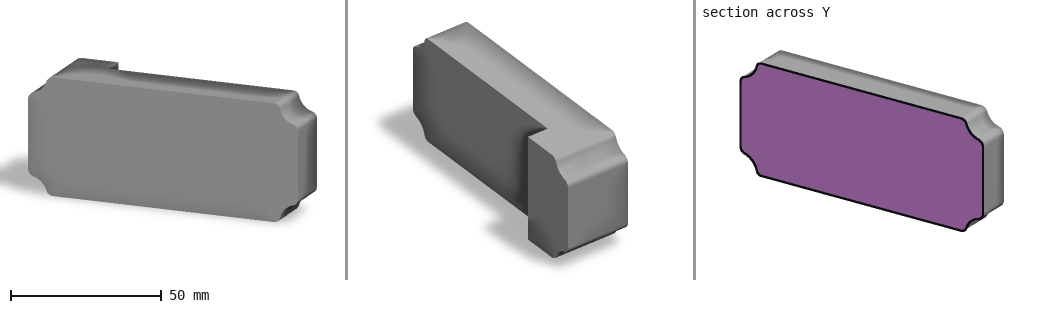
import cadquery as cq

length = 96.8
height = 41.0
plate_thickness = 16.6
total_depth = 24.8
heel_length = 22.2

left_scallop_radius = 6.5
left_fillet_radius = 2.5
right_scallop_radius = 6.8
right_fillet_radius = 2.0

left_centre_x = length / 2 - 0.4
left_centre_z = height / 2 + 0.3
right_centre_x = length / 2 + 0.2
right_centre_z = height / 2


def block_with_heel():
    """Rectangular plate with a thicker heel at its left end."""
    plate = cq.Workplane("XY").box(length, plate_thickness, height, centered=(True, False, True))
    heel = (
        cq.Workplane("XY")
        .box(heel_length, total_depth, height, centered=(False, False, True))
        .translate((-length / 2, 0, 0))
    )
    return plate.union(heel)


def scallop_corner(body, centre_x, centre_z, scallop_radius, fillet_radius):
    """Cut a round scallop through the depth at one corner and fillet the two edges it leaves."""
    cutter = (
        cq.Workplane("XZ")
        .center(centre_x, centre_z)
        .circle(scallop_radius)
        .extrude(-total_depth)
    )
    reach = scallop_radius + fillet_radius
    near = (centre_x - reach, 0, centre_z - reach)
    far = (centre_x + reach, total_depth, centre_z + reach)
    scallop_edges = cq.selectors.BoxSelector(near, far)
    return body.cut(cutter).edges("|Y").edges(scallop_edges).fillet(fillet_radius)


result = block_with_heel()
for level in (-1, 1):
    result = scallop_corner(
        result, -left_centre_x, level * left_centre_z, left_scallop_radius, left_fillet_radius
    )
    result = scallop_corner(
        result, right_centre_x, level * right_centre_z, right_scallop_radius, right_fillet_radius
    )